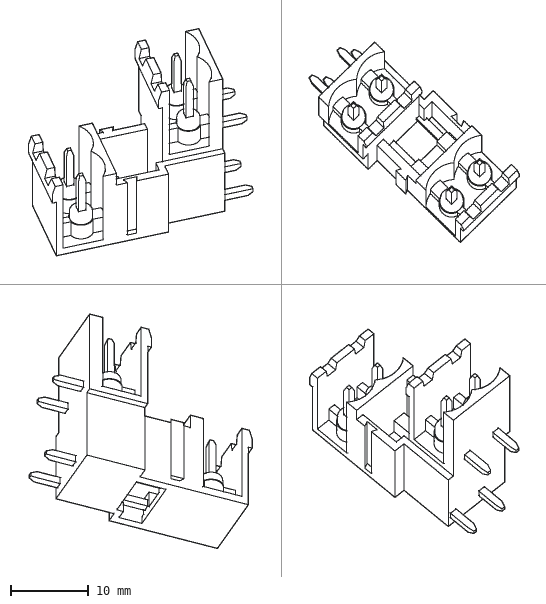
import cadquery as cq


poles = 2
pole_pitch = 5.07
deck_width = poles * pole_pitch
stagger = pole_pitch / 2

deck_setback = 15.1
deck_step = 10.0
deck_depth = 8.1
deck_height = 12.0
front_wall = 0.91
upper_floor_z = 10.95
lower_floor_z = 1.08
cusp_depth = 1.83
scallop_depth = 0.9

lip_projection = 0.53
lip_height = 2.77
lip_chamfer_height = 1.27
lip_chamfer_depth = 0.4
notch_top_width = 1.95
notch_bottom_width = 1.45

pin_size = 1.0
pin_tip_size = 0.5
pin_tip_length = 0.78
tail_length = 4.0
upper_pin_y = -3.82
lower_pin_y = -19.05
upper_tail_z = 12.15
lower_tail_z = 1.97
upper_pin_top = 20.72
lower_pin_top = upper_pin_top - deck_step

boss_diameter = 3.0
boss_root_diameter = 3.2
boss_height = 3.82
boss_fillet = 0.5
support_height = 2.35
support_width = 1.8

base_shift = 0.91
side_wall = 1.14
jog_wall = 0.91
ledge_length = 2.9

key_y = -13.02
key_tip_width = 1.83
key_root_width = 1.2
key_depth = 0.65
groove_depth = 0.75
key_bottom_z = 1.0

lower_left = stagger
lower_right = stagger + deck_width
base_right = base_shift + deck_width
cut_margin = 0.28


def block(x0, x1, y0, y1, z0, z1):
    """Box between two opposite corners."""
    return cq.Workplane("XY").box(x1 - x0, y1 - y0, z1 - z0, centered=False).translate((x0, y0, z0))


def pole_positions(left):
    """X of each pole in a deck whose left side is at the given X."""
    return [left + (pole + 0.5) * pole_pitch for pole in range(poles)]


def deck_body(left, rear, bottom, top):
    """Side profile of a deck with its latch lip, extruded across the deck."""
    front = rear - deck_depth
    lip_front = front - lip_projection
    profile = [
        (rear, bottom),
        (rear, top),
        (lip_front + lip_chamfer_depth, top),
        (lip_front, top - lip_chamfer_height),
        (lip_front, top - lip_height),
        (front, top - lip_height),
        (front, bottom),
    ]
    return cq.Workplane("YZ").polyline(profile).close().extrude(deck_width).translate((left, 0, 0))


def deck_cavity(left, rear, floor, top):
    """Plug space, open at both sides, with one scallop per pole in the rear wall."""
    front = rear - deck_depth + front_wall
    cusp_y = rear - cusp_depth
    outline = cq.Workplane("XY").moveTo(left, front).lineTo(left, cusp_y)
    for x in pole_positions(left):
        outline = outline.threePointArc((x, rear - scallop_depth), (x + pole_pitch / 2, cusp_y))
    outline = outline.lineTo(left + deck_width, front).close()
    return outline.extrude(top - floor).translate((0, 0, floor))


def lip_notch(x, rear, top):
    """Tapered notch through the front wall in front of a pole."""
    bottom = top - lip_chamfer_height
    length = front_wall + lip_projection + 2 * cut_margin
    outline = [
        (x - notch_bottom_width / 2, bottom),
        (x + notch_bottom_width / 2, bottom),
        (x + notch_top_width / 2, top),
        (x - notch_top_width / 2, top),
    ]
    inner_y = rear - deck_depth + front_wall + cut_margin
    return cq.Workplane("XZ").polyline(outline).close().extrude(length).translate((0, inner_y, 0))


def pin_support(x, pin_y, rear, floor):
    """Round boss with a wide block to the rear wall and a thin rib to the front wall."""
    support_top = floor + support_height
    boss = (
        cq.Workplane("XY")
        .circle(boss_diameter / 2)
        .extrude(boss_height)
        .faces(">Z")
        .edges()
        .fillet(boss_fillet)
        .translate((x, pin_y, floor))
    )
    root = cq.Workplane("XY").circle(boss_root_diameter / 2).extrude(support_height)
    root = root.translate((x, pin_y, floor))
    half_block = support_width / 2
    half_rib = pin_size / 2
    rear_block = block(x - half_block, x + half_block, pin_y, rear - scallop_depth, floor, support_top)
    wall_y = rear - deck_depth + front_wall
    rib = block(x - half_rib, x + half_rib, wall_y, pin_y, floor, support_top)
    return boss.union(root).union(rear_block).union(rib)


def make_deck(left, rear, bottom, floor, top, pin_y):
    """One complete deck of the housing."""
    deck = deck_body(left, rear, bottom, top).cut(deck_cavity(left, rear, floor, top))
    for x in pole_positions(left):
        deck = deck.cut(lip_notch(x, rear, top))
        deck = deck.union(pin_support(x, pin_y, rear, floor))
    return deck


def make_link():
    """Base of the upper deck, side walls to the lower deck and the ledge around the lower pins."""
    lower_rear = -deck_setback
    base = block(base_shift, base_right, -deck_depth, 0, 0, deck_step)
    left_wall = block(lower_left, lower_left + side_wall, lower_rear, -deck_depth, 0, deck_step)
    right_wall = block(lower_right - side_wall, lower_right, lower_rear, -deck_depth, 0, deck_step)
    jog = block(deck_width, lower_right, -deck_depth - jog_wall, -deck_depth, 0, deck_step)
    link = base.union(left_wall).union(right_wall).union(jog)
    ledge_rear = lower_rear + ledge_length
    link = link.union(block(lower_left, lower_right, lower_rear, ledge_rear, 0, lower_floor_z))
    support_top = lower_floor_z + support_height
    half_block = support_width / 2
    for x in pole_positions(lower_left):
        sleeve = block(x - half_block, x + half_block, lower_rear, ledge_rear, lower_floor_z, support_top)
        link = link.union(sleeve)
    return link


def dovetail(wall_x, depth):
    """Upright dovetail prism that widens from key_root_width at wall_x to key_tip_width."""
    outline = [
        (wall_x, key_y - key_root_width / 2),
        (wall_x, key_y + key_root_width / 2),
        (wall_x - depth, key_y + key_tip_width / 2),
        (wall_x - depth, key_y - key_tip_width / 2),
    ]
    height = deck_step - key_bottom_z
    return cq.Workplane("XY").polyline(outline).close().extrude(height).translate((0, 0, key_bottom_z))


def tapered_bar(length):
    """Square bar along +Z from the origin, pointed at its far end."""
    shaft_length = length - pin_tip_length
    shaft = cq.Workplane("XY").rect(pin_size, pin_size).extrude(shaft_length)
    tip = (
        cq.Workplane("XY", origin=(0, 0, shaft_length))
        .rect(pin_size, pin_size)
        .workplane(offset=pin_tip_length)
        .rect(pin_tip_size, pin_tip_size)
        .loft(ruled=True)
    )
    return shaft.union(tip)


def make_pin(x, pin_y, tail_z, top):
    """Right-angle pin: an upright contact and a tail running to the rear."""
    half = pin_size / 2
    contact = tapered_bar(top - tail_z + half).translate((0, 0, -half))
    tail = tapered_bar(tail_length - pin_y + half).rotate((0, 0, 0), (1, 0, 0), -90).translate((0, -half, 0))
    return contact.union(tail).translate((x, pin_y, tail_z))


pins = [make_pin(x, upper_pin_y, upper_tail_z, upper_pin_top) for x in pole_positions(0)]
pins += [make_pin(x, lower_pin_y, lower_tail_z, lower_pin_top) for x in pole_positions(lower_left)]

upper_deck = make_deck(0, 0, deck_step, upper_floor_z, deck_step + deck_height, upper_pin_y)
lower_deck = make_deck(lower_left, -deck_setback, 0, lower_floor_z, deck_height, lower_pin_y)
housing = upper_deck.union(lower_deck).union(make_link())
housing = housing.union(dovetail(lower_left, key_depth))
housing = housing.cut(dovetail(lower_right, groove_depth))
for pin in pins:
    housing = housing.cut(pin)

result = cq.Compound.makeCompound([housing.val(), *[pin.val() for pin in pins]])